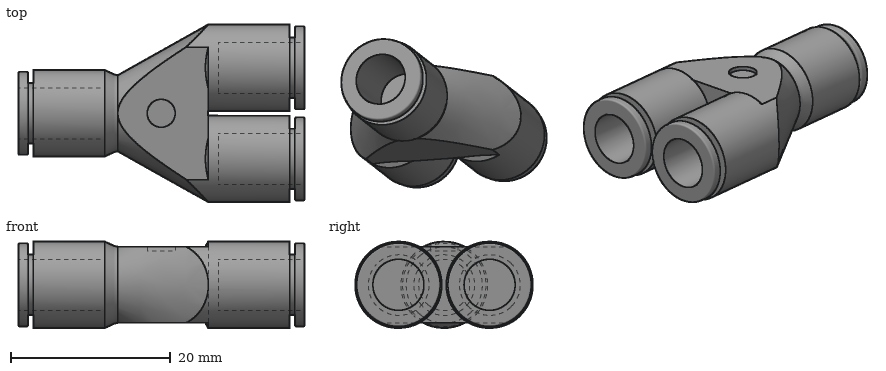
import cadquery as cq
import math


total_length = 35.82
total_width = 22.25
sleeve_radius = 5.425
outlet_offset = total_width / 2 - sleeve_radius

flange_radius = 5.22
flange_width = 1.22
flange_fillet = 0.22
collet_neck_radius = 3.8
sleeve_start = 1.88
bore_radius = 3.2
bore_depth = 10.8

taper_start = 10.8
taper_end = 12.0
taper_end_radius = 4.87
waist_x = 12.45
waist_radius = 4.77

web_half_thickness = waist_radius
web_end_x = 23.75
cone_half_angle = math.radians(29.3)

sleeve_chamfer_length = 0.36
sleeve_chamfer_depth = sleeve_radius - web_half_thickness

recess_x = 17.87
recess_radius = 1.75
recess_depth = 0.5


def revolve_about_x(profile):
    """Solid of revolution about the X axis from (x, radius) points."""
    return cq.Workplane("XY").polyline(profile).close().revolve(360, (0, 0, 0), (1, 0, 0))


def make_collet():
    """Flange and neck with the mouth at x = 0, pointing toward -X."""
    flange = cq.Workplane("YZ").circle(flange_radius).extrude(flange_width)
    flange = flange.edges("%CIRCLE").fillet(flange_fillet)
    neck = cq.Workplane("YZ").circle(collet_neck_radius).extrude(sleeve_start)
    return flange.union(neck)


def make_bore():
    """Blind tube bore entering from x = 0 toward +X."""
    return cq.Workplane("YZ").circle(bore_radius).extrude(bore_depth)


def to_outlet(shape, side):
    """Move a shape from the inlet mouth to the outlet mouth on the given side of Y."""
    turned = shape.rotate((0, 0, 0), (0, 0, 1), 180)
    return turned.translate((total_length, side * outlet_offset, 0))


def make_inlet_sleeve():
    return revolve_about_x([
        (sleeve_start, 0),
        (sleeve_start, sleeve_radius),
        (taper_start, sleeve_radius),
        (taper_end, taper_end_radius),
        (waist_x, waist_radius),
        (waist_x, 0),
    ])


def make_outlet_sleeve():
    """Outlet sleeve placed at the inlet mouth, ready for to_outlet."""
    sleeve_end = total_length - web_end_x
    chamfer_end = sleeve_end + sleeve_chamfer_length
    return revolve_about_x([
        (sleeve_start, 0),
        (sleeve_start, sleeve_radius),
        (sleeve_end, sleeve_radius),
        (chamfer_end, sleeve_radius - sleeve_chamfer_depth),
        (chamfer_end, 0),
    ])


def make_web():
    """Cone widening from the waist, trimmed to the outlet outline and to two flats."""
    length = web_end_x - waist_x
    cone = revolve_about_x([
        (waist_x, 0),
        (waist_x, waist_radius),
        (web_end_x, waist_radius + length * math.tan(cone_half_angle)),
        (web_end_x, 0),
    ])
    outline = (
        cq.Workplane("YZ", origin=(waist_x, 0, 0))
        .slot2D(total_width, 2 * sleeve_radius)
        .extrude(length)
    )
    slab = cq.Workplane("XY").box(
        2 * total_length, 2 * total_length, 2 * web_half_thickness
    )
    return cone.intersect(outline).intersect(slab)


def make_recess():
    floor_z = web_half_thickness - recess_depth
    return (
        cq.Workplane("XY", origin=(recess_x, 0, floor_z))
        .circle(recess_radius)
        .extrude(2 * recess_depth)
    )


collet = make_collet()
bore = make_bore()
outlet_sleeve = make_outlet_sleeve()

body = make_inlet_sleeve().union(make_web()).union(collet).cut(bore)
for side in (-1, 1):
    body = body.union(to_outlet(outlet_sleeve, side))
    body = body.union(to_outlet(collet, side))
    body = body.cut(to_outlet(bore, side))

result = body.cut(make_recess())